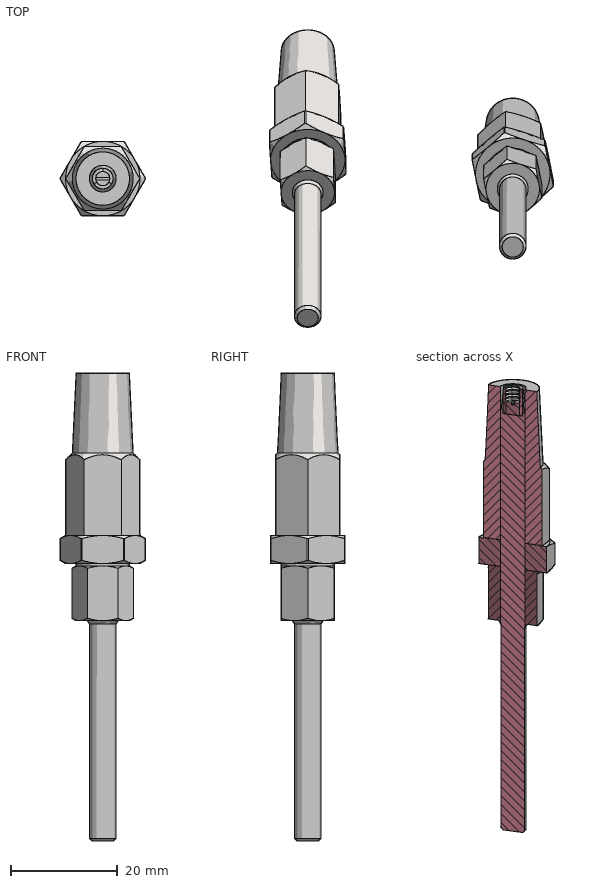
import cadquery as cq
import math

TOTAL_LENGTH = 87.85
HANDLE_TAPER_LENGTH = 15.0
HANDLE_LENGTH = 30.5
NUT_HEIGHT = 5.3
GLAND_LENGTH = 10.7
GLAND_NECK_LENGTH = 0.4
GLAND_TIP_LENGTH = 0.6

HANDLE_BOTTOM = TOTAL_LENGTH - HANDLE_LENGTH
HANDLE_SHOULDER = TOTAL_LENGTH - HANDLE_TAPER_LENGTH
NUT_BOTTOM = HANDLE_BOTTOM - NUT_HEIGHT
GLAND_TOP = NUT_BOTTOM - GLAND_NECK_LENGTH
GLAND_BOTTOM = NUT_BOTTOM - GLAND_LENGTH

HEX_SIDES = 6
CHAMFER_ANGLE = 30.0

GRIP_TOP_RADIUS = 5.0
GRIP_BASE_RADIUS = 5.7
HANDLE_FLATS = 12.0
HANDLE_CHAMFER_ANGLE = 45.0

NUT_FLATS = 14.0
NUT_CORNER_RADIUS = 8.0

GLAND_FLATS = 10.0
GLAND_TIP_TOP_RADIUS = 2.9

ROD_DIAMETER = 5.0
ROD_RADIUS = ROD_DIAMETER / 2
ROD_CHAMFER = 0.5
ROD_TAPER_LENGTH = 5.3
JAW_COUNT = 3
FIRST_JAW_ANGLE = 90.0
JAW_LENGTH = 5.3
JAW_OUTER_RADIUS = 1.9
JAW_BORE_RADIUS = 1.3
GROOVE_COUNT = 4
GROOVE_PITCH = 0.7
GROOVE_DEPTH = 0.2
SLOT_WIDTH = 0.4
SLOT_DEPTH = 0.5

JAW_BOTTOM = TOTAL_LENGTH - JAW_LENGTH
SCREW_TOP = TOTAL_LENGTH - GROOVE_COUNT * GROOVE_PITCH


def cylinder(radius, bottom, top):
    return cq.Workplane("XY").workplane(offset=bottom).circle(radius).extrude(top - bottom)


def corner_radius(flats):
    """Centre-to-corner distance of a hexagon given across its flats."""
    return flats / 2 / math.cos(math.pi / HEX_SIDES)


def hexagon(flats, bottom, top):
    """Hexagonal prism with two corners on the X axis."""
    base = cq.Workplane("XY").workplane(offset=bottom).polygon(HEX_SIDES, 2 * corner_radius(flats))
    return base.extrude(top - bottom)


def turned(points):
    """Solid of revolution about Z from (radius, height) points."""
    return cq.Workplane("XZ").polyline(points).close().revolve(360, (0, 0), (0, 1))


def chamfered_hexagon(flats, bottom, top, max_radius):
    """Hexagonal prism whose corners are coned off at both ends, starting from the inscribed circle."""
    inner = flats / 2
    drop = (max_radius - inner) * math.tan(math.radians(CHAMFER_ANGLE))
    envelope = turned([
        (0, bottom),
        (inner, bottom),
        (max_radius, bottom + drop),
        (max_radius, top - drop),
        (inner, top),
        (0, top),
    ])
    return hexagon(flats, bottom, top).intersect(envelope)


def rod_bore(bottom, top):
    """Cutter for the hole that the rod fits."""
    return cylinder(ROD_RADIUS, bottom, top)


def make_handle():
    """Hexagon with a coned shoulder and a tapered round grip, bored through for the rod."""
    corner = corner_radius(HANDLE_FLATS)
    drop = (corner - GRIP_BASE_RADIUS) * math.tan(math.radians(HANDLE_CHAMFER_ANGLE))
    envelope = turned([
        (0, HANDLE_BOTTOM),
        (corner, HANDLE_BOTTOM),
        (corner, HANDLE_SHOULDER - drop),
        (GRIP_BASE_RADIUS, HANDLE_SHOULDER),
        (0, HANDLE_SHOULDER),
    ])
    grip = turned([
        (0, HANDLE_SHOULDER),
        (GRIP_BASE_RADIUS, HANDLE_SHOULDER),
        (GRIP_TOP_RADIUS, TOTAL_LENGTH),
        (0, TOTAL_LENGTH),
    ])
    body = hexagon(HANDLE_FLATS, HANDLE_BOTTOM, HANDLE_SHOULDER).intersect(envelope).union(grip)
    return body.cut(rod_bore(HANDLE_BOTTOM, TOTAL_LENGTH))


def make_nut():
    """Hexagon nut around the rod, directly below the handle."""
    body = chamfered_hexagon(NUT_FLATS, NUT_BOTTOM, HANDLE_BOTTOM, NUT_CORNER_RADIUS)
    return body.cut(rod_bore(NUT_BOTTOM, HANDLE_BOTTOM))


def make_gland():
    """Hexagonal gland with a round neck above it and a conical tip below it."""
    tip_bottom = GLAND_BOTTOM - GLAND_TIP_LENGTH
    body = chamfered_hexagon(GLAND_FLATS, GLAND_BOTTOM, GLAND_TOP, corner_radius(GLAND_FLATS))
    neck = cylinder(GLAND_FLATS / 2, GLAND_TOP, NUT_BOTTOM)
    tip = turned([
        (0, GLAND_BOTTOM),
        (GLAND_TIP_TOP_RADIUS, GLAND_BOTTOM),
        (ROD_RADIUS, tip_bottom),
        (0, tip_bottom),
    ])
    return body.union(neck).union(tip).cut(rod_bore(tip_bottom, NUT_BOTTOM))


def make_rod():
    """Round bar, chamfered below and tapered above down to the rim of the socket that holds the jaws."""
    return turned([
        (0, 0),
        (ROD_RADIUS - ROD_CHAMFER, 0),
        (ROD_RADIUS, ROD_CHAMFER),
        (ROD_RADIUS, TOTAL_LENGTH - ROD_TAPER_LENGTH),
        (JAW_OUTER_RADIUS, TOTAL_LENGTH),
        (JAW_OUTER_RADIUS, JAW_BOTTOM),
        (0, JAW_BOTTOM),
    ])


def make_jaw(index):
    """One sector of a collar with a ring-grooved bore; the first sector starts at +Y."""
    profile = [
        (JAW_BORE_RADIUS, JAW_BOTTOM),
        (JAW_OUTER_RADIUS, JAW_BOTTOM),
        (JAW_OUTER_RADIUS, TOTAL_LENGTH),
    ]
    for groove in range(GROOVE_COUNT):
        groove_top = TOTAL_LENGTH - groove * GROOVE_PITCH
        profile.append((JAW_BORE_RADIUS, groove_top))
        profile.append((JAW_BORE_RADIUS + GROOVE_DEPTH, groove_top - GROOVE_PITCH / 2))
    profile.append((JAW_BORE_RADIUS, SCREW_TOP))
    sweep = 360 / JAW_COUNT
    sector = cq.Workplane("XZ").polyline(profile).close().revolve(sweep, (0, 0), (0, 1))
    return sector.rotate((0, 0, 0), (0, 0, 1), FIRST_JAW_ANGLE + index * sweep)


def make_screw():
    """Plain screw with a slot along X, sunk below the grooves of the jaws."""
    slot = cq.Workplane("XY", origin=(0, 0, SCREW_TOP - SLOT_DEPTH / 2)).box(
        2 * JAW_BORE_RADIUS, SLOT_WIDTH, SLOT_DEPTH
    )
    return cylinder(JAW_BORE_RADIUS, JAW_BOTTOM, SCREW_TOP).cut(slot)


handle = make_handle()
nut = make_nut()
gland = make_gland()
rod = make_rod()
jaws = [make_jaw(index) for index in range(JAW_COUNT)]
screw = make_screw()

result = cq.Compound.makeCompound(
    [handle.val(), nut.val(), gland.val(), rod.val(), *[jaw.val() for jaw in jaws], screw.val()]
)